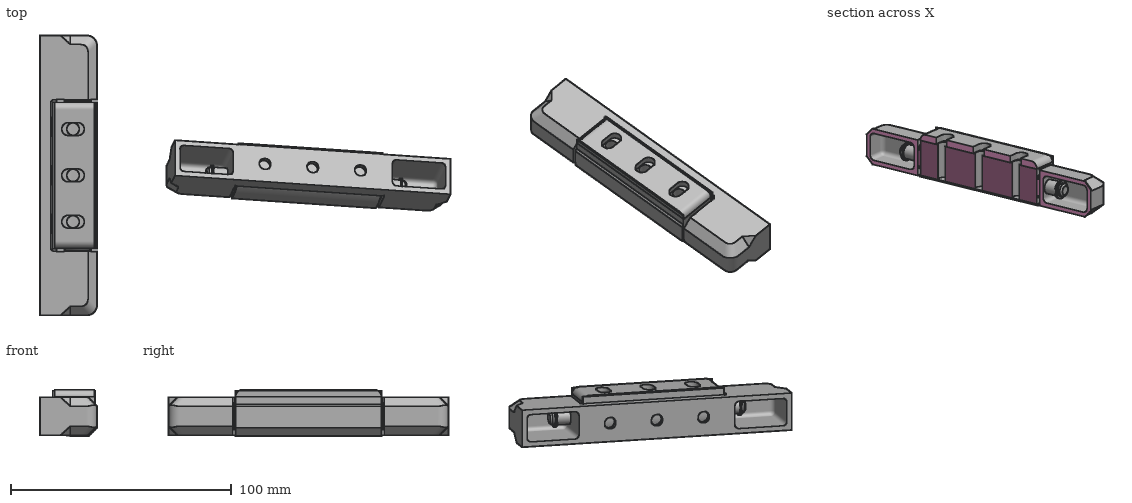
import cadquery as cq
import math

BAR_DEPTH = 26.0
BAR_LENGTH = 127.0
BAR_HEIGHT = 17.3
BAR_END = BAR_LENGTH / 2
BAR_MID_Z = BAR_HEIGHT / 2
EDGE_CHAMFER = 4.15
CORNER_RADIUS = 4.85
END_CHAMFER_START = 13.9
END_CHAMFER_TIP = 9.35

NOTCH_FLOOR_X = 5.0
NOTCH_HALF = 34.4
NOTCH_CURVE_RADIUS = 13.9
NOTCH_CURVE_Z = 8.1
NOTCH_CORNER_CHAMFER = 1.0

POCKET_START = 36.7
POCKET_END = 61.2
POCKET_WALL = 2.3
POCKET_DEPTH = 22.0
POCKET_RADIUS = 2.0

WALL_HOLE_PITCH = 22.0
WALL_HOLE_DIAMETER = 5.3
WALL_BORE_DIAMETER = 9.6
WALL_BORE_DEPTH = 2.5

CARTRIDGE_HALF = 33.2
SHEET_THICKNESS = 0.9
SHEET_LEFT = 5.8
SHEET_RIGHT = BAR_DEPTH
SHEET_BOTTOM = -0.35
SHEET_TOP = 20.25
SHEET_LIP_TOP = BAR_HEIGHT - EDGE_CHAMFER + SHEET_THICKNESS
SHEET_BEND_RADIUS = 8.45
SHEET_CHAMFER = 3.8
CORE_HALF = 33.05
CORE_TOP = 17.45
CORE_LIP_THICKNESS = 0.4
CORE_LEFT = SHEET_LEFT + SHEET_THICKNESS
CORE_RIGHT = SHEET_RIGHT - SHEET_THICKNESS
CAP_RIGHT = CORE_RIGHT - CORE_LIP_THICKNESS
CAP_THICKNESS = 3.2
CAP_END_RADIUS = 3.19
CAP_HOLE_PITCH = 21.0
CAP_HOLE_X = 15.05
CAP_SLOT_LENGTH = 10.2
CAP_SLOT_WIDTH = 5.85
CORE_HOLE_DIAMETER = 5.6

PIN_X = 17.1
PIN_RADIUS = 3.35
PIN_TIP_RADIUS = 3.08
PIN_INNER_END = 25.5
PIN_OUTER_END = 46.0
PIN_TIP_CHAMFER = 0.9
CLIP_START = 43.1
CLIP_THICKNESS = 0.8
CLIP_RADIUS = 4.2
CLIP_GROOVE_RADIUS = 2.5
CLIP_MOUTH = 2.8
WASHER_RIM_RADIUS = 6.15
WASHER_RIM_THICKNESS = 0.45
WASHER_NECK_RADIUS = 5.6
WASHER_BASE_RADIUS = 6.1


def box(x_range, y_range, z_range):
    """Box between the given low and high limits."""
    low = cq.Vector(x_range[0], y_range[0], z_range[0])
    size = cq.Vector(x_range[1], y_range[1], z_range[1]) - low
    return cq.Workplane("XY").add(cq.Solid.makeBox(size.x, size.y, size.z, low))


def cylinder(radius, length, start, direction):
    """Cylinder of the given length from a start point along a direction."""
    return cq.Workplane("XY").add(
        cq.Solid.makeCylinder(radius, length, cq.Vector(*start), cq.Vector(*direction))
    )


def tetrahedron(a, b, c, d):
    """Solid with four triangular faces."""
    triangles = [(a, b, c), (a, b, d), (a, c, d), (b, c, d)]
    faces = [
        cq.Face.makeFromWires(cq.Wire.makePolygon([cq.Vector(*p) for p in points], close=True))
        for points in triangles
    ]
    return cq.Workplane("XY").add(cq.Solid.makeSolid(cq.Shell.makeShell(faces)))


def mirrored_pair(solid):
    """The +Y solid and its mirror image at the -Y end."""
    return [solid, solid.mirror("XZ")]


def make_bar_blank():
    """Bar with chamfered +X edges and end edges, and rounded outer corners."""
    front = box((END_CHAMFER_START, BAR_DEPTH), (-BAR_END, BAR_END), (0, BAR_HEIGHT))
    front = front.faces("<Z or >Z").edges(">X or <Y or >Y").chamfer(EDGE_CHAMFER)
    front = front.edges("not(#X or #Y or #Z)").fillet(CORNER_RADIUS)
    rounded = (
        box((END_CHAMFER_START, BAR_DEPTH), (-BAR_END, BAR_END), (0, BAR_HEIGHT))
        .edges("|Z and >X")
        .fillet(CORNER_RADIUS)
    )
    front = front.intersect(rounded)

    blank = box((0, END_CHAMFER_START), (-BAR_END, BAR_END), (0, BAR_HEIGHT))
    for side in (-1, 1):
        for z, inward in ((0, 1), (BAR_HEIGHT, -1)):
            end = side * BAR_END
            blank = blank.cut(
                tetrahedron(
                    (END_CHAMFER_TIP, end, z),
                    (END_CHAMFER_START, end, z),
                    (END_CHAMFER_START, end - side * EDGE_CHAMFER, z),
                    (END_CHAMFER_START, end, z + inward * EDGE_CHAMFER),
                )
            )
    return blank.union(front)


def make_notch():
    """Space for the cartridge: vertical back wall that curves forward near the bottom."""
    center_x = NOTCH_FLOOR_X + NOTCH_CURVE_RADIUS
    bottom_x = center_x - math.sqrt(NOTCH_CURVE_RADIUS**2 - NOTCH_CURVE_Z**2)
    half_angle = math.pi + math.asin(NOTCH_CURVE_Z / NOTCH_CURVE_RADIUS) / 2
    middle = (
        center_x + NOTCH_CURVE_RADIUS * math.cos(half_angle),
        NOTCH_CURVE_Z + NOTCH_CURVE_RADIUS * math.sin(half_angle),
    )
    notch = (
        cq.Workplane("XZ", origin=(0, NOTCH_HALF, 0))
        .moveTo(BAR_DEPTH, 0)
        .lineTo(BAR_DEPTH, BAR_HEIGHT)
        .lineTo(NOTCH_FLOOR_X, BAR_HEIGHT)
        .lineTo(NOTCH_FLOOR_X, NOTCH_CURVE_Z)
        .threePointArc(middle, (bottom_x, 0))
        .close()
        .extrude(2 * NOTCH_HALF)
    )
    plan = (
        box((NOTCH_FLOOR_X, BAR_DEPTH), (-NOTCH_HALF, NOTCH_HALF), (0, BAR_HEIGHT))
        .edges("|Z and <X")
        .chamfer(NOTCH_CORNER_CHAMFER)
    )
    return notch.intersect(plan)


def make_pocket():
    """Rounded pocket at the +Y end, open on the -X face."""
    return (
        box((0, POCKET_DEPTH), (POCKET_START, POCKET_END), (POCKET_WALL, BAR_HEIGHT - POCKET_WALL))
        .edges("|X or >X")
        .fillet(POCKET_RADIUS)
    )


def make_bar():
    """Bar with the notch, end pockets, counterbored screw holes and pin holes."""
    bar = make_bar_blank().cut(make_notch())
    bore_start = NOTCH_FLOOR_X - WALL_BORE_DEPTH
    for y in (-WALL_HOLE_PITCH, 0, WALL_HOLE_PITCH):
        hole = cylinder(WALL_HOLE_DIAMETER / 2, BAR_DEPTH, (0, y, BAR_MID_Z), (1, 0, 0))
        bore = cylinder(WALL_BORE_DIAMETER / 2, BAR_DEPTH, (bore_start, y, BAR_MID_Z), (1, 0, 0))
        bar = bar.cut(hole).cut(bore)
    pin_hole_length = POCKET_START + POCKET_RADIUS - NOTCH_HALF
    pin_hole = cylinder(PIN_RADIUS, pin_hole_length, (PIN_X, NOTCH_HALF, BAR_MID_Z), (0, 1, 0))
    for cutter in mirrored_pair(make_pocket().val()) + mirrored_pair(pin_hole.val()):
        bar = bar.cut(cq.Workplane("XY").add(cutter))
    return bar


def cartridge_section(inset, top, half_length):
    """Cartridge section, moved inward by inset, with a round and a chamfered lower corner."""
    left = SHEET_LEFT + inset
    right = SHEET_RIGHT - inset
    bottom = SHEET_BOTTOM + inset
    radius = SHEET_BEND_RADIUS - inset
    chamfer = SHEET_CHAMFER - inset * (2 - math.sqrt(2))
    diagonal = radius * math.sqrt(0.5)
    center_x = left + radius
    center_z = bottom + radius
    return (
        cq.Workplane("XZ", origin=(0, half_length, 0))
        .moveTo(left, top)
        .lineTo(left, center_z)
        .threePointArc((center_x - diagonal, center_z - diagonal), (center_x, bottom))
        .lineTo(right - chamfer, bottom)
        .lineTo(right, bottom + chamfer)
        .lineTo(right, top)
        .close()
        .extrude(2 * half_length)
    )


def make_sheet():
    """Bent sheet under the core, with a tall -X leg and a short +X leg with a beveled top."""
    sheet = cartridge_section(0, SHEET_TOP, CARTRIDGE_HALF)
    sheet = sheet.cut(cartridge_section(SHEET_THICKNESS, SHEET_TOP, CARTRIDGE_HALF))
    above_lip = (
        cq.Workplane("XZ", origin=(0, CARTRIDGE_HALF, 0))
        .moveTo(CORE_RIGHT, SHEET_LIP_TOP)
        .lineTo(SHEET_RIGHT, SHEET_LIP_TOP - SHEET_THICKNESS)
        .lineTo(SHEET_RIGHT, SHEET_TOP)
        .lineTo(CORE_RIGHT, SHEET_TOP)
        .close()
        .extrude(2 * CARTRIDGE_HALF)
    )
    return sheet.cut(above_lip)


def make_core():
    """Block that fills the sheet below the cap, with a +X lip, screw holes and pin bores."""
    core = cartridge_section(SHEET_THICKNESS, SHEET_TOP, CORE_HALF)
    cap_seat = box((CORE_LEFT, CAP_RIGHT), (-CORE_HALF, CORE_HALF), (CORE_TOP, SHEET_TOP))
    core = core.cut(cap_seat)
    for y in (-CAP_HOLE_PITCH, 0, CAP_HOLE_PITCH):
        start = (CAP_HOLE_X, y, SHEET_BOTTOM)
        hole = cylinder(CORE_HOLE_DIAMETER / 2, CORE_TOP - SHEET_BOTTOM, start, (0, 0, 1))
        core = core.cut(hole)
    bore = cylinder(PIN_RADIUS, CORE_HALF - PIN_INNER_END, (PIN_X, PIN_INNER_END, BAR_MID_Z), (0, 1, 0))
    for cutter in mirrored_pair(bore.val()):
        core = core.cut(cq.Workplane("XY").add(cutter))
    return core


def make_cap():
    """Slotted strip on top of the core, with rounded ends."""
    cap = box((CORE_LEFT, CAP_RIGHT), (-CORE_HALF, CORE_HALF), (CORE_TOP, CORE_TOP + CAP_THICKNESS))
    cap = cap.edges("|X and >Z").fillet(CAP_END_RADIUS)
    slots = (
        cq.Workplane("XY", origin=(CAP_HOLE_X, 0, CORE_TOP))
        .pushPoints([(0, y) for y in (-CAP_HOLE_PITCH, 0, CAP_HOLE_PITCH)])
        .slot2D(CAP_SLOT_LENGTH, CAP_SLOT_WIDTH)
        .extrude(CAP_THICKNESS)
    )
    return cap.cut(slots)


def turned(profile):
    """Solid turned about the +Y pin axis from (radius, Y) points."""
    return (
        cq.Workplane("XY", origin=(PIN_X, 0, BAR_MID_Z))
        .polyline(profile)
        .close()
        .revolve(360, (0, 0, 0), (0, 1, 0))
    )


def make_pin():
    """Pivot pin with a clip groove and a chamfered tip."""
    clip_end = CLIP_START + CLIP_THICKNESS
    return turned(
        [
            (0, PIN_INNER_END),
            (PIN_RADIUS, PIN_INNER_END),
            (PIN_RADIUS, CLIP_START),
            (CLIP_GROOVE_RADIUS, CLIP_START),
            (CLIP_GROOVE_RADIUS, clip_end),
            (PIN_TIP_RADIUS, clip_end),
            (PIN_TIP_RADIUS, PIN_OUTER_END - PIN_TIP_CHAMFER),
            (PIN_TIP_RADIUS - PIN_TIP_CHAMFER, PIN_OUTER_END),
            (0, PIN_OUTER_END),
        ]
    )


def make_clip():
    """Open ring in the pin groove, with its mouth toward -X."""
    start = (PIN_X, CLIP_START, BAR_MID_Z)
    clip = cylinder(CLIP_RADIUS, CLIP_THICKNESS, start, (0, 1, 0))
    clip = clip.cut(cylinder(CLIP_GROOVE_RADIUS, CLIP_THICKNESS, start, (0, 1, 0)))
    mouth = box(
        (PIN_X - CLIP_RADIUS, PIN_X),
        (CLIP_START, CLIP_START + CLIP_THICKNESS),
        (BAR_MID_Z - CLIP_MOUTH / 2, BAR_MID_Z + CLIP_MOUTH / 2),
    )
    return clip.cut(mouth)


def make_washer():
    """Washer between the cartridge and the notch end: a cone behind a flat rim."""
    rim_start = NOTCH_HALF - WASHER_RIM_THICKNESS
    return turned(
        [
            (PIN_RADIUS, CORE_HALF),
            (WASHER_BASE_RADIUS, CORE_HALF),
            (WASHER_NECK_RADIUS, rim_start),
            (WASHER_RIM_RADIUS, rim_start),
            (WASHER_RIM_RADIUS, NOTCH_HALF),
            (PIN_RADIUS, NOTCH_HALF),
        ]
    )


bar = make_bar()
sheet = make_sheet()
core = make_core()
cap = make_cap()
pins = mirrored_pair(make_pin().val())
clips = mirrored_pair(make_clip().val())
washers = mirrored_pair(make_washer().val())

result = cq.Compound.makeCompound(
    [bar.val(), sheet.val(), core.val(), cap.val(), *pins, *clips, *washers]
)